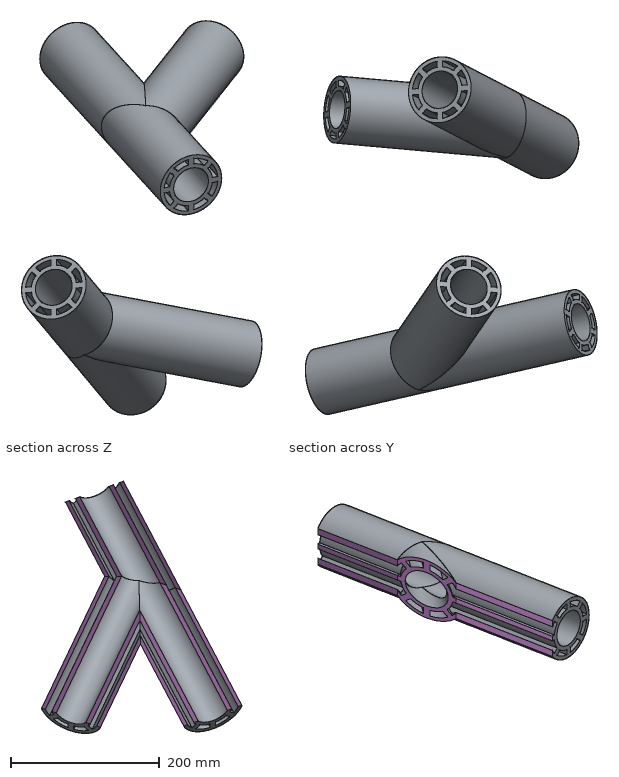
import cadquery as cq
import math

RUN_LENGTH = 400.0
INLET_LENGTH = 249.5
OUTLET_LENGTH = RUN_LENGTH - INLET_LENGTH
BRANCH_LENGTH = INLET_LENGTH

OUTLET_ANGLE = 0.0
BRANCH_ANGLE = 135.0
INLET_ANGLE = 180.0

OUTER_RADIUS = 45.0
OUTER_WALL = 5.5
INNER_WALL = 6.0
BORE_RADIUS = 25.5
WEB_THICKNESS = 8.0
WEB_COUNT = 8
CHANNEL_INNER_RADIUS = BORE_RADIUS + INNER_WALL
CHANNEL_OUTER_RADIUS = OUTER_RADIUS - OUTER_WALL

BRANCH_OUTLET_JOINT = (BRANCH_ANGLE + OUTLET_ANGLE) / 2
BRANCH_INLET_JOINT = (BRANCH_ANGLE + INLET_ANGLE) / 2
INLET_OUTLET_JOINT = 225.0
FULL_TURN = 360.0

SECTOR_RADIUS = RUN_LENGTH
SECTOR_HALF_HEIGHT = 2 * OUTER_RADIUS


def double_walled_pipe(length, angle):
    """Pipe along the given direction, running past the junction by one outer radius."""
    total_length = length + OUTER_RADIUS
    pipe = cq.Workplane("YZ").circle(OUTER_RADIUS).circle(BORE_RADIUS).extrude(total_length)
    channels = (
        cq.Workplane("YZ").circle(CHANNEL_OUTER_RADIUS).circle(CHANNEL_INNER_RADIUS).extrude(total_length)
    )
    for index in range(WEB_COUNT // 2):
        bar = cq.Workplane("YZ").rect(2 * OUTER_RADIUS, WEB_THICKNESS).extrude(total_length)
        channels = channels.cut(bar.rotate((0, 0, 0), (1, 0, 0), index * FULL_TURN / WEB_COUNT))
    return pipe.cut(channels).translate((-OUTER_RADIUS, 0, 0)).rotate((0, 0, 0), (0, 0, 1), angle)


def joint_sector(start_angle, end_angle):
    """Upright sector around the junction's Z axis, counter-clockwise between two joint planes."""

    def rim_point(angle):
        radians = math.radians(angle)
        return SECTOR_RADIUS * math.cos(radians), SECTOR_RADIUS * math.sin(radians)

    return (
        cq.Workplane("XY")
        .moveTo(0, 0)
        .lineTo(*rim_point(start_angle))
        .threePointArc(rim_point((start_angle + end_angle) / 2), rim_point(end_angle))
        .close()
        .extrude(SECTOR_HALF_HEIGHT, both=True)
    )


def inlet_pipe():
    """Long -X part of the run, pointed where it meets the branch and the outlet."""
    return double_walled_pipe(INLET_LENGTH, INLET_ANGLE).intersect(
        joint_sector(BRANCH_INLET_JOINT, INLET_OUTLET_JOINT)
    )


def branch_pipe():
    """Oblique pipe, mitred against both parts of the run."""
    return double_walled_pipe(BRANCH_LENGTH, BRANCH_ANGLE).intersect(
        joint_sector(BRANCH_OUTLET_JOINT, BRANCH_INLET_JOINT)
    )


def outlet_pipe():
    """Short +X part of the run, whose -Y side reaches back past the junction to meet the inlet."""
    return double_walled_pipe(OUTLET_LENGTH, OUTLET_ANGLE).intersect(
        joint_sector(INLET_OUTLET_JOINT, BRANCH_OUTLET_JOINT + FULL_TURN)
    )


inlet = inlet_pipe()
branch = branch_pipe()
outlet = outlet_pipe()

result = cq.Compound.makeCompound(
    [inlet.solids().val(), branch.solids().val(), outlet.solids().val()]
)